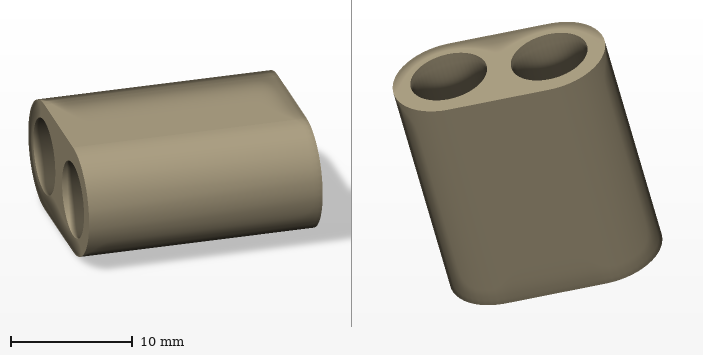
import cadquery as cq

width = 18.0
length = 20.0
height = 9.5
bore_diameter = 6.5

bore_spacing = width - height


def make_body():
    """Stadium-shaped bar running along Y, centred on the origin."""
    return cq.Workplane("XZ").slot2D(width, height).extrude(length / 2, both=True)


def cut_bores(body):
    """Two parallel through bores along Y."""
    bores = (
        cq.Workplane("XZ")
        .rarray(bore_spacing, 1, 2, 1)
        .circle(bore_diameter / 2)
        .extrude(length / 2, both=True)
    )
    return body.cut(bores)


result = cut_bores(make_body())